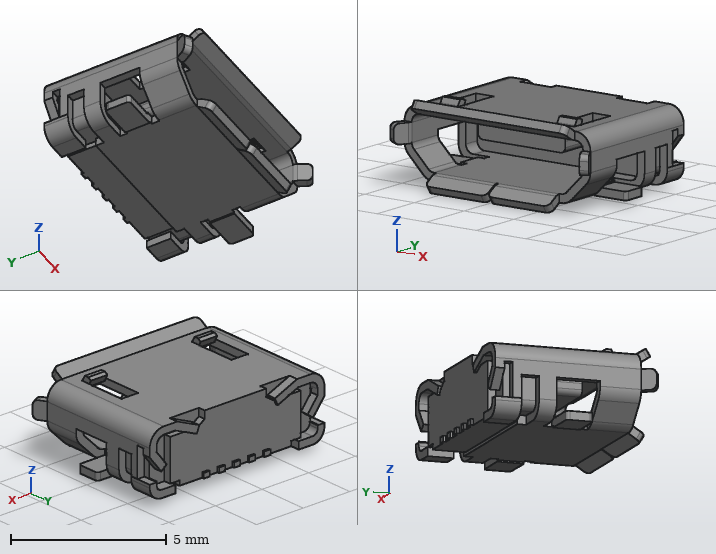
import cadquery as cq
import math


SHEET = 0.3
HALF_WIDTH = 3.75
HEIGHT = 2.45
LENGTH = 5.0
BEND_RADIUS = 0.6
MOUTH_CHAMFER = 0.93
MOUTH_DEPTH = 1.41
INNER_HALF_WIDTH = HALF_WIDTH - SHEET
CEILING = HEIGHT - SHEET
INNER_RADIUS = BEND_RADIUS - SHEET

LIP_ANGLE = 32
LIP_LENGTH = 0.52
LIP_CORNER = 0.2
TOP_LIP_HALF_WIDTH = 3.11
BOTTOM_LIP_HALF_WIDTH = 2.49
BOTTOM_LIP_GAP = 0.02
EAR_ANGLE = 30
EAR_LENGTH = 0.5
EAR_BOTTOM = 1.15
EAR_TOP = HEIGHT - BEND_RADIUS

FLOOR_HALF_WIDTH = 2.51
OPENING_TOP = 1.35
SIDE_WINDOW_BACK = 2.89
SLOT_FRONT = 3.5
SLOT_BACK = 4.1
FLOOR_BACK = 3.8

FOOT_UNDERSIDE = -0.055
SIDE_FOOT_FRONT = 1.7
SIDE_FOOT_BACK = 2.62
SIDE_FOOT_INNER_END = 2.64
SIDE_FOOT_JOG_END = 2.76
SIDE_FOOT_TIP = 3.9
SIDE_FOOT_CORNER = 0.12
REAR_FOOT_RADIUS = 0.51
REAR_FOOT_TOP = 0.57
REAR_FOOT_INNER_END = 2.64

TAB_WINDOW_FRONT = 4.4
TAB_WINDOW_TOP = 1.75
TAB_FRONT = 4.68
TAB_BEND_Z = 1.52
TAB_TIP_Z = 0.89
TAB_ANGLE = 38

LATCH_INNER_X = 2.0
LATCH_OUTER_X = 2.71
LATCH_WINDOW_FRONT = 0.51
LATCH_WINDOW_BACK = 2.45
LATCH_RISE = 0.22
LATCH_HEEL = 0.04
LATCH_CREST_START = 0.15
LATCH_CREST_END = 0.31
LATCH_REACH = 0.44
LATCH_TIP_DROP = 0.08
LATCH_TIP_LEAN = 0.13
LATCH_TIP_HEIGHT = 0.26
LATCH_FRONT_INSET = 0.06
LATCH_BACK_INSET = 0.06
LATCH_CREST_INSET = 0.08

ROOF_NOTCH_INNER_X = 1.32
ROOF_NOTCH_OUTER_X = 2.57
ROOF_NOTCH_FRONT = 4.635
FLAP_REACH = 0.95
FLAP_ANGLE = 23

HOUSING_FRONT = SLOT_FRONT
HOUSING_BACK = 4.915
HOUSING_REAR_HALF_WIDTH = 2.8
BASE_HALF_WIDTH = 2.4
BASE_UNDERSIDE = 0.11
TONGUE_FRONT = 1.3
TONGUE_HALF_WIDTH = 1.76
TONGUE_BOTTOM = 1.29
TONGUE_TOP = 1.9
TONGUE_CORNER = 0.2
POCKET_DROP = 0.2
TAIL_COUNT = 5
TAIL_PITCH = 0.65
TAIL_WIDTH = 0.26
TAIL_THICKNESS = 0.2


def box(x0, x1, y0, y1, z0, z1):
    return cq.Workplane("XY").box(x1 - x0, y1 - y0, z1 - z0, centered=False).translate((x0, y0, z0))


def both_sides(shape):
    return shape.union(shape.mirror("YZ"))


def extrude_along_y(sketch_points, y0, y1):
    """Prism with an outline given as (x, z) points."""
    prism = cq.Workplane("XZ").polyline(sketch_points).close().extrude(-(y1 - y0))
    return prism.translate((0, y0, 0))


def extrude_along_x(sketch_points, x0, x1):
    """Prism with an outline given as (y, z) points."""
    prism = cq.Workplane("YZ").polyline(sketch_points).close().extrude(x1 - x0)
    return prism.translate((x0, 0, 0))


def rounded_block(half_width, z0, z1, radius, y0, y1):
    return box(-half_width, half_width, y0, y1, z0, z1).edges("|Y").fillet(radius)


def mouth_block(inset, radius, y0, y1):
    """Block with both lower edges cut at 45 degrees and all long edges rounded."""
    side = HALF_WIDTH - inset
    chamfer = MOUTH_CHAMFER - inset * (2 - math.sqrt(2))
    outline = [
        (chamfer - side, inset),
        (side - chamfer, inset),
        (side, inset + chamfer),
        (side, HEIGHT - inset),
        (-side, HEIGHT - inset),
        (-side, inset + chamfer),
    ]
    return extrude_along_y(outline, y0, y1).edges("|Y").fillet(radius)


def make_tube():
    mouth = mouth_block(0, BEND_RADIUS, 0, MOUTH_DEPTH)
    mouth = mouth.cut(mouth_block(SHEET, INNER_RADIUS, 0, MOUTH_DEPTH))
    rear = rounded_block(HALF_WIDTH, 0, HEIGHT, BEND_RADIUS, MOUTH_DEPTH, LENGTH)
    rear = rear.cut(
        rounded_block(INNER_HALF_WIDTH, SHEET, CEILING, INNER_RADIUS, MOUTH_DEPTH, LENGTH)
    )
    return mouth.union(rear)


def cut_sides_and_floor(shell):
    outside = HALF_WIDTH + SHEET
    window = box(FLOOR_HALF_WIDTH, outside, MOUTH_DEPTH, SIDE_WINDOW_BACK, 0, OPENING_TOP)
    slot = box(FLOOR_HALF_WIDTH, outside, SLOT_FRONT, SLOT_BACK, 0, OPENING_TOP)
    tab_window = box(INNER_HALF_WIDTH, outside, TAB_WINDOW_FRONT, LENGTH, REAR_FOOT_TOP, TAB_WINDOW_TOP)
    rear_corner = box(0, outside, SLOT_BACK, LENGTH, 0, REAR_FOOT_TOP)
    rear_floor = box(0, FLOOR_HALF_WIDTH, FLOOR_BACK, LENGTH, 0, SHEET)
    for opening in (window, slot, tab_window, rear_corner, rear_floor):
        shell = shell.cut(both_sides(opening))
    return shell


def flare(x0, x1, angle, length):
    """Lip running forward and upward from the sheet edge whose top is the line Y = 0, Z = 0."""
    rise = math.sin(math.radians(angle))
    run = math.cos(math.radians(angle))
    tip_y = -length * run
    tip_z = length * rise
    half_slope = math.tan(math.radians(angle / 2))
    bend_y = -(SHEET / run - SHEET) / (rise / run - half_slope)
    bend_z = bend_y * -half_slope - SHEET
    outline = [
        (0, 0),
        (tip_y, tip_z),
        (tip_y - SHEET * rise, tip_z - SHEET * run),
        (bend_y, bend_z),
        (0, -SHEET),
    ]
    lip = extrude_along_x(outline, x0, x1)
    tip_corners = cq.selectors.BoxSelector(
        (x0 - SHEET, tip_y - SHEET, -SHEET), (x1 + SHEET, bend_y - SHEET / 4, length)
    )
    across_sheet = cq.selectors.ParallelDirSelector(cq.Vector(0, rise, run))
    return lip.edges(tip_corners).edges(across_sheet).fillet(LIP_CORNER)


def make_lips():
    top = flare(-TOP_LIP_HALF_WIDTH, TOP_LIP_HALF_WIDTH, LIP_ANGLE, LIP_LENGTH)
    top = top.translate((0, 0, HEIGHT))
    bottom = flare(BOTTOM_LIP_GAP, BOTTOM_LIP_HALF_WIDTH, LIP_ANGLE, LIP_LENGTH).mirror("XY")
    ear = flare(-EAR_TOP, -EAR_BOTTOM, EAR_ANGLE, EAR_LENGTH)
    ear = ear.rotate((0, 0, 0), (0, 1, 0), 90).translate((HALF_WIDTH, 0, 0))
    return top.union(both_sides(bottom)).union(both_sides(ear))


def make_side_feet():
    """Floor strips jogged slightly downward before they leave through the side windows."""
    strip = box(FLOOR_HALF_WIDTH, SIDE_FOOT_JOG_END, SIDE_FOOT_FRONT, SIDE_FOOT_BACK, 0, SHEET)
    foot = box(
        SIDE_FOOT_INNER_END, SIDE_FOOT_TIP, SIDE_FOOT_FRONT, SIDE_FOOT_BACK,
        FOOT_UNDERSIDE, FOOT_UNDERSIDE + SHEET,
    )
    foot = foot.edges("|Z and >X").fillet(SIDE_FOOT_CORNER)
    return both_sides(strip.union(foot))


def make_rear_feet():
    """Side wall curled inward at the bottom, behind the side slot."""
    bend_x = HALF_WIDTH - REAR_FOOT_RADIUS
    bend_z = FOOT_UNDERSIDE + REAR_FOOT_RADIUS
    diagonal = math.sqrt(0.5)
    outer_mid = REAR_FOOT_RADIUS * diagonal
    inner_mid = (REAR_FOOT_RADIUS - SHEET) * diagonal
    foot = (
        cq.Workplane("XZ")
        .moveTo(HALF_WIDTH, REAR_FOOT_TOP)
        .lineTo(HALF_WIDTH, bend_z)
        .threePointArc((bend_x + outer_mid, bend_z - outer_mid), (bend_x, FOOT_UNDERSIDE))
        .lineTo(REAR_FOOT_INNER_END, FOOT_UNDERSIDE)
        .lineTo(REAR_FOOT_INNER_END, FOOT_UNDERSIDE + SHEET)
        .lineTo(bend_x, FOOT_UNDERSIDE + SHEET)
        .threePointArc((bend_x + inner_mid, bend_z - inner_mid), (INNER_HALF_WIDTH, bend_z))
        .lineTo(INNER_HALF_WIDTH, REAR_FOOT_TOP)
        .close()
        .extrude(-(LENGTH - SLOT_BACK))
        .translate((0, SLOT_BACK, 0))
    )
    return both_sides(foot)


def make_side_tabs():
    inset = (TAB_BEND_Z - TAB_TIP_Z) * math.tan(math.radians(TAB_ANGLE))
    tip_dx = SHEET * math.cos(math.radians(TAB_ANGLE))
    tip_dz = SHEET * math.sin(math.radians(TAB_ANGLE))
    inner_bend_z = TAB_BEND_Z + SHEET * math.tan(math.radians(TAB_ANGLE / 2))
    outline = [
        (HALF_WIDTH, TAB_WINDOW_TOP),
        (HALF_WIDTH, TAB_BEND_Z),
        (HALF_WIDTH - inset, TAB_TIP_Z),
        (HALF_WIDTH - inset - tip_dx, TAB_TIP_Z + tip_dz),
        (INNER_HALF_WIDTH, inner_bend_z),
        (INNER_HALF_WIDTH, TAB_WINDOW_TOP),
    ]
    return both_sides(extrude_along_y(outline, TAB_FRONT, LENGTH))


def add_latches(shell):
    """Roof windows, each with a strip humped up from its front edge."""
    window = box(
        LATCH_INNER_X, LATCH_OUTER_X, LATCH_WINDOW_FRONT, LATCH_WINDOW_BACK, CEILING, HEIGHT
    )
    front = LATCH_WINDOW_FRONT
    crest = HEIGHT + LATCH_RISE
    crest_front = front + LATCH_CREST_START
    crest_back = front + LATCH_CREST_END
    tip = front + LATCH_REACH
    tip_z = crest - LATCH_TIP_DROP
    outline = [
        (front, HEIGHT),
        (front + LATCH_HEEL, HEIGHT + LATCH_HEEL),
        (crest_front, crest),
        (crest_back, crest),
        (tip, tip_z),
        (tip - LATCH_TIP_LEAN, tip_z - LATCH_TIP_HEIGHT),
        (crest_back - LATCH_BACK_INSET, crest - SHEET),
        (crest_front + LATCH_CREST_INSET, crest - SHEET),
        (front + LATCH_FRONT_INSET, CEILING),
        (front, CEILING),
    ]
    latch = extrude_along_x(outline, LATCH_INNER_X, LATCH_OUTER_X)
    return shell.cut(both_sides(window)).union(both_sides(latch))


def add_roof_flaps(shell):
    """Rear roof edge, notched on both sides with a flap sloping down into each notch."""
    notch = box(ROOF_NOTCH_INNER_X, ROOF_NOTCH_OUTER_X, ROOF_NOTCH_FRONT, LENGTH, CEILING, HEIGHT)
    setback = box(0, ROOF_NOTCH_INNER_X, HOUSING_BACK, LENGTH, CEILING, HEIGHT)
    drop = FLAP_REACH * math.tan(math.radians(FLAP_ANGLE))
    tip_dx = SHEET * math.sin(math.radians(FLAP_ANGLE))
    tip_dz = SHEET * math.cos(math.radians(FLAP_ANGLE))
    bend_dx = SHEET * math.tan(math.radians(FLAP_ANGLE / 2))
    tip_x = ROOF_NOTCH_OUTER_X - FLAP_REACH
    outline = [
        (ROOF_NOTCH_OUTER_X, HEIGHT),
        (tip_x, HEIGHT - drop),
        (tip_x + tip_dx, HEIGHT - drop - tip_dz),
        (ROOF_NOTCH_OUTER_X + bend_dx, CEILING),
    ]
    flap = extrude_along_y(outline, ROOF_NOTCH_FRONT, LENGTH)
    return shell.cut(both_sides(notch.union(setback))).union(both_sides(flap))


def make_housing():
    body = rounded_block(INNER_HALF_WIDTH, SHEET, CEILING, INNER_RADIUS, HOUSING_FRONT, HOUSING_BACK)
    rear_relief = box(
        HOUSING_REAR_HALF_WIDTH, INNER_HALF_WIDTH, ROOF_NOTCH_FRONT, HOUSING_BACK, SHEET, CEILING
    )
    body = body.cut(both_sides(rear_relief))
    tip_x = ROOF_NOTCH_OUTER_X - FLAP_REACH
    pocket_outline = [
        (ROOF_NOTCH_INNER_X, CEILING),
        (tip_x, CEILING - POCKET_DROP),
        (HOUSING_REAR_HALF_WIDTH, CEILING - POCKET_DROP),
        (HOUSING_REAR_HALF_WIDTH, CEILING),
    ]
    body = body.cut(both_sides(extrude_along_y(pocket_outline, ROOF_NOTCH_FRONT, HOUSING_BACK)))
    base = box(
        -BASE_HALF_WIDTH, BASE_HALF_WIDTH, FLOOR_BACK, HOUSING_BACK, BASE_UNDERSIDE, SHEET
    )
    tongue = rounded_block(
        TONGUE_HALF_WIDTH, TONGUE_BOTTOM, TONGUE_TOP, TONGUE_CORNER, TONGUE_FRONT, HOUSING_FRONT
    )
    return body.union(base).union(tongue)


def make_contact_tails():
    tails = cq.Workplane("XY")
    for index in range(TAIL_COUNT):
        center = (index - (TAIL_COUNT - 1) / 2) * TAIL_PITCH
        tails = tails.union(box(
            center - TAIL_WIDTH / 2, center + TAIL_WIDTH / 2, HOUSING_BACK, LENGTH,
            BASE_UNDERSIDE, BASE_UNDERSIDE + TAIL_THICKNESS,
        ))
    return tails


shell = cut_sides_and_floor(make_tube())
shell = add_roof_flaps(add_latches(shell))
result = shell
for piece in (
    make_lips(), make_side_feet(), make_rear_feet(), make_side_tabs(), make_housing(), make_contact_tails()
):
    result = result.union(piece)